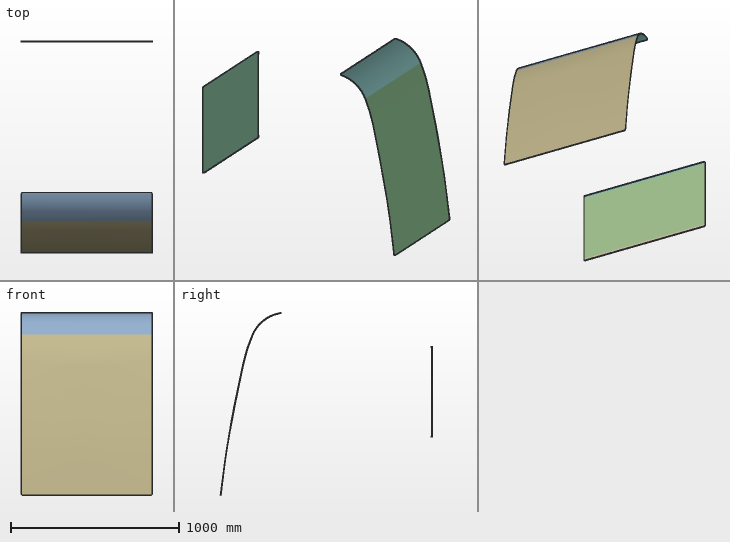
import cadquery as cq
import math

width = 779.0
front_y = -630.0
back_y = 630.0
left_x = -width / 2
corner_radius = 10.0

sheet_thickness = 5.0
half_thickness = sheet_thickness / 2
sheet_bottom_z = -543.0
bottom_heading = 6.6
bend_stations = [
    (-565.0, -112.0, 10.1),
    (-495.0, 228.0, 12.9),
    (-472.0, 322.0, 17.5),
    (-439.0, 410.0, 22.9),
]
top_arc_radius = 218.0
top_arc_sweep = 58.6

panel_thickness = 5.0
panel_bottom_z = -198.0
panel_top_z = 342.0
top_lip_depth = 6.0
top_lip_height = 20.0
bottom_lip_depth = 6.0
bottom_lip_height = 14.0


def shifted(point, heading, distance):
    """Move a YZ point square to its heading, positive towards the outer face."""
    angle = math.radians(heading)
    return (point[0] - distance * math.cos(angle), point[1] + distance * math.sin(angle))


def direction(heading):
    """Unit YZ vector along a heading."""
    angle = math.radians(heading)
    return (math.sin(angle), math.cos(angle))


def make_curved_sheet():
    bottom_angle = math.radians(bottom_heading)
    bottom_middle = (
        front_y + half_thickness * math.cos(bottom_angle),
        sheet_bottom_z + half_thickness * math.sin(bottom_angle),
    )
    stations = [(*bottom_middle, bottom_heading)] + bend_stations
    outer_points = [shifted((y, z), heading, half_thickness) for y, z, heading in stations]
    inner_points = [shifted((y, z), heading, -half_thickness) for y, z, heading in stations]

    joint_y, joint_z, joint_heading = stations[-1]
    arc_center = shifted((joint_y, joint_z), joint_heading, -top_arc_radius)
    arc_middle_heading = joint_heading + top_arc_sweep / 2
    top_heading = joint_heading + top_arc_sweep
    outer_radius = top_arc_radius + half_thickness
    inner_radius = top_arc_radius - half_thickness

    end_tangents = [direction(bottom_heading), direction(joint_heading)]
    return_tangents = [direction(joint_heading + 180), direction(bottom_heading + 180)]

    sheet = (
        cq.Workplane("YZ", origin=(left_x, 0, 0))
        .moveTo(*outer_points[0])
        .spline(outer_points[1:], tangents=end_tangents, includeCurrent=True)
        .threePointArc(
            shifted(arc_center, arc_middle_heading, outer_radius),
            shifted(arc_center, top_heading, outer_radius),
        )
        .lineTo(*shifted(arc_center, top_heading, inner_radius))
        .threePointArc(shifted(arc_center, arc_middle_heading, inner_radius), inner_points[-1])
        .spline(inner_points[-2::-1], tangents=return_tangents, includeCurrent=True)
        .close()
        .extrude(width)
    )

    corners = [edge for edge in sheet.edges().vals() if edge.Length() < 2 * sheet_thickness]
    return sheet.newObject(corners).fillet(corner_radius)


def make_panel():
    panel_front_y = back_y - panel_thickness
    top_lip_y = back_y - top_lip_depth
    bottom_lip_y = back_y - bottom_lip_depth
    top_lip_z = panel_top_z - top_lip_height
    bottom_lip_z = panel_bottom_z + bottom_lip_height
    section = [
        (back_y, panel_bottom_z),
        (back_y, panel_top_z),
        (top_lip_y, panel_top_z),
        (panel_front_y, top_lip_z),
        (panel_front_y, bottom_lip_z),
        (bottom_lip_y, panel_bottom_z),
    ]
    panel = cq.Workplane("YZ", origin=(left_x, 0, 0)).polyline(section).close().extrude(width)

    panel = panel.faces(">Z").edges("|Y").fillet(corner_radius)
    return panel.faces("<Z").edges("|Y").fillet(corner_radius)


curved_sheet = make_curved_sheet()
panel = make_panel()
result = cq.Compound.makeCompound([curved_sheet.val(), panel.val()])